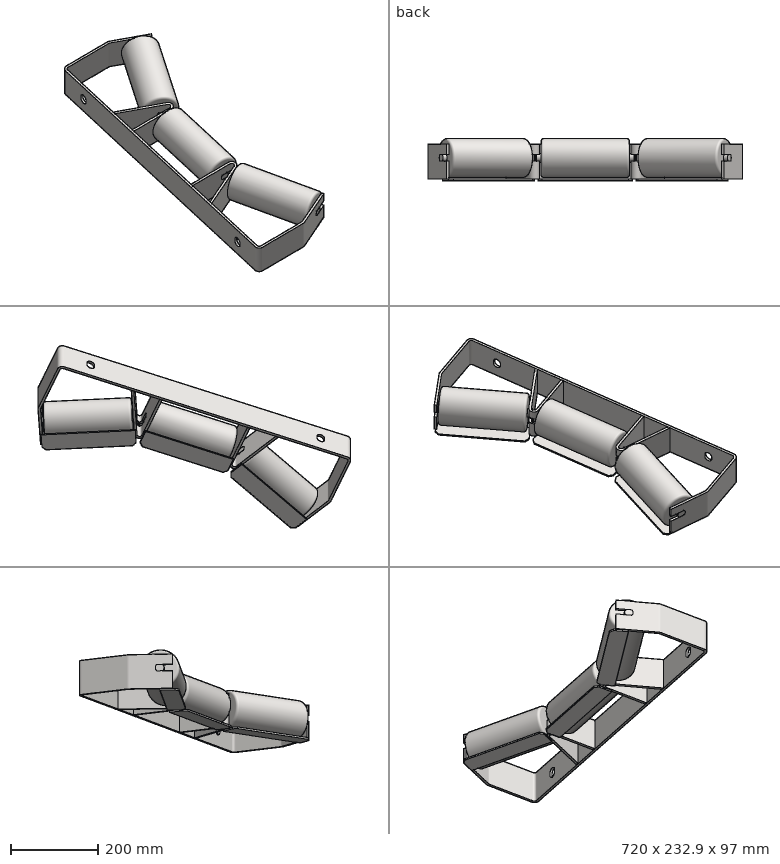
import cadquery as cq
import math

FRAME_WIDTH = 720.0
TOTAL_HEIGHT = 97.0

STRIP_THICKNESS = 6.0
STRIP_HEIGHT = 80.0
BEND_RADIUS = 1.5 * STRIP_THICKNESS

TILT = 25.0
SUPPORT_SPACING = 216.0
ROLLER_DIAMETER = 89.0
ROLLER_LENGTH = 201.5
ROLLER_EDGE_RADIUS = 6.0
SHAFT_DIAMETER = 20.0
SHAFT_FLAT_WIDTH = 15.0
MIDDLE_ROLLER_Y = 100.0
SIDE_ROLLER_X = 229.0
SIDE_ROLLER_Y = 152.0
OUTER_LEG_ABOVE_AXIS = 29.5

PLATE_THICKNESS = 4.0
PLATE_DEPTH = 43.0
PLATE_CHAMFER = 9.0

MOUNT_SLOT_X = 283.0
MOUNT_SLOT_WIDTH = 18.0
MOUNT_SLOT_HEIGHT = 25.0

AXIS_Z = TOTAL_HEIGHT - PLATE_THICKNESS - ROLLER_DIAMETER / 2

TILT_COS = math.cos(math.radians(TILT))
TILT_SIN = math.sin(math.radians(TILT))

MIDDLE_PLACEMENT = (0, MIDDLE_ROLLER_Y, 0)
RIGHT_PLACEMENT = (SIDE_ROLLER_X, SIDE_ROLLER_Y, TILT)
LEFT_PLACEMENT = (-SIDE_ROLLER_X, SIDE_ROLLER_Y, -TILT)
PLACEMENTS = [LEFT_PLACEMENT, MIDDLE_PLACEMENT, RIGHT_PLACEMENT]


def placed(body, placement):
    """Move a body from the origin, with its roller axis along X, to a roller's place."""
    x, y, tilt = placement
    return body.rotate((0, 0, 0), (0, 0, 1), tilt).translate((x, y, 0))


def on_right_roller(along, across):
    """XY point given along and across the right roller's axis, from the roller's centre."""
    return (
        SIDE_ROLLER_X + along * TILT_COS - across * TILT_SIN,
        SIDE_ROLLER_Y + along * TILT_SIN + across * TILT_COS,
    )


def leg_at_x(along, x):
    """XY point at a given X on the tilted leg plane that crosses the right roller's axis at `along`."""
    foot_x, foot_y = on_right_roller(along, 0)
    return (x, foot_y - (x - foot_x) * TILT_COS / TILT_SIN)


def leg_at_y(along, y):
    """XY point at a given Y on the tilted leg plane that crosses the right roller's axis at `along`."""
    foot_x, foot_y = on_right_roller(along, 0)
    return (foot_x - (y - foot_y) * TILT_SIN / TILT_COS, y)


def bent_strip(points):
    """Strip standing on Z = 0 whose midline follows the XY points, bent at each inner point."""
    mid_z = STRIP_HEIGHT / 2
    corners = [cq.Vector(x, y, mid_z) for x, y in points]
    sharp = cq.Wire.makePolygon(corners)
    midline = sharp.fillet(BEND_RADIUS, sharp.Vertices()[1:-1])
    section = cq.Plane(origin=corners[0], xDir=(0, 0, 1), normal=corners[1] - corners[0])
    return (
        cq.Workplane(section)
        .rect(STRIP_HEIGHT, STRIP_THICKNESS)
        .sweep(cq.Workplane(midline))
    )


def shaft():
    """Round bar along X at axis height, with two flats where each end sits in a leg slot."""
    length = SUPPORT_SPACING + STRIP_THICKNESS
    bar = (
        cq.Workplane("YZ", origin=(-length / 2, 0, AXIS_Z))
        .circle(SHAFT_DIAMETER / 2)
        .extrude(length)
    )
    round_part = cq.Workplane("XY").box(
        SUPPORT_SPACING - STRIP_THICKNESS, SHAFT_DIAMETER, SHAFT_DIAMETER
    )
    flat_part = cq.Workplane("XY").box(length, SHAFT_DIAMETER, SHAFT_FLAT_WIDTH)
    return bar.intersect(round_part.union(flat_part).translate((0, 0, AXIS_Z)))


def make_roller(placement):
    """Roller tube with rounded ends, in one piece with its shaft."""
    tube = (
        cq.Workplane("YZ", origin=(-ROLLER_LENGTH / 2, 0, AXIS_Z))
        .circle(ROLLER_DIAMETER / 2)
        .extrude(ROLLER_LENGTH)
        .edges()
        .fillet(ROLLER_EDGE_RADIUS)
    )
    return placed(tube.union(shaft()), placement)


def cut_shaft_slots(strip, placement):
    """Cut a roller's two leg slots: closed around the shaft, open toward the legs' tips."""
    slot_depth = ROLLER_DIAMETER
    opening = (
        cq.Workplane("XY")
        .box(SUPPORT_SPACING + 2 * STRIP_THICKNESS, slot_depth, SHAFT_FLAT_WIDTH)
        .translate((0, slot_depth / 2, AXIS_Z))
    )
    return strip.cut(placed(shaft(), placement)).cut(placed(opening, placement))


def make_frame():
    """Long back strip whose ends bend forward and then inward as the outer legs."""
    side_x = (FRAME_WIDTH - STRIP_THICKNESS) / 2
    back_y = STRIP_THICKNESS / 2
    outer_leg = SUPPORT_SPACING / 2
    tip = on_right_roller(outer_leg, OUTER_LEG_ABOVE_AXIS)
    right_half = [(side_x, back_y), leg_at_x(outer_leg, side_x), tip]
    left_half = [(-x, y) for x, y in reversed(right_half)]
    frame = bent_strip(left_half + right_half)

    mount_slots = (
        cq.Workplane("XZ", origin=(0, STRIP_THICKNESS, STRIP_HEIGHT / 2))
        .pushPoints([(-MOUNT_SLOT_X, 0), (MOUNT_SLOT_X, 0)])
        .slot2D(MOUNT_SLOT_HEIGHT, MOUNT_SLOT_WIDTH, 90)
        .extrude(STRIP_THICKNESS)
    )
    frame = frame.cut(mount_slots)
    for placement in (LEFT_PLACEMENT, RIGHT_PLACEMENT):
        frame = cut_shaft_slots(frame, placement)
    return frame


def make_bracket(side):
    """Folded inner bracket on the left (-1) or right (1), holding the middle and one side roller."""
    straight_x = SUPPORT_SPACING / 2
    tilted_leg = -SUPPORT_SPACING / 2
    points = [(straight_x, 0), leg_at_x(tilted_leg, straight_x), leg_at_y(tilted_leg, 0)]
    bracket = bent_strip([(side * x, y) for x, y in points])

    back = cq.Workplane("XY").box(FRAME_WIDTH, 2 * STRIP_THICKNESS, 2 * STRIP_HEIGHT)
    bracket = bracket.cut(back)
    side_placement = RIGHT_PLACEMENT if side > 0 else LEFT_PLACEMENT
    for placement in (MIDDLE_PLACEMENT, side_placement):
        bracket = cut_shaft_slots(bracket, placement)
    return bracket


def make_plate(placement):
    """Plate below the strips, from the roller's axis forward, with chamfered front corners."""
    plate = (
        cq.Workplane("XY")
        .box(SUPPORT_SPACING, PLATE_DEPTH, PLATE_THICKNESS)
        .edges("|Z and >Y")
        .chamfer(PLATE_CHAMFER)
        .translate((0, PLATE_DEPTH / 2, -PLATE_THICKNESS / 2))
    )
    return placed(plate, placement)


frame = make_frame()
brackets = [make_bracket(side) for side in (-1, 1)]
rollers = [make_roller(placement) for placement in PLACEMENTS]
plates = [make_plate(placement) for placement in PLACEMENTS]

result = cq.Compound.makeCompound(
    [body.solids().val() for body in [frame, *brackets, *rollers, *plates]]
)